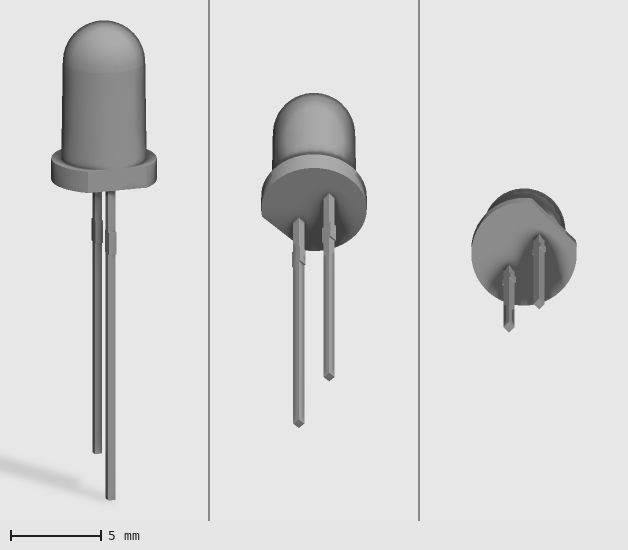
import cadquery as cq

TOTAL_HEIGHT = 27.18
LENS_HEIGHT = 9.05
FLANGE_BOTTOM = TOTAL_HEIGHT - LENS_HEIGHT

FLANGE_DIAMETER = 5.85
FLANGE_RADIUS = FLANGE_DIAMETER / 2
FLANGE_HEIGHT = 1.22
WIDTH_ACROSS_FLAT = 5.3
FLAT_X = WIDTH_ACROSS_FLAT - FLANGE_RADIUS
BARREL_BASE_RADIUS = 2.36
DOME_RADIUS = 2.28
DOME_BOTTOM = TOTAL_HEIGHT - DOME_RADIUS
FLANGE_TOP = FLANGE_BOTTOM + FLANGE_HEIGHT

LEAD_WIDTH = 0.43
LEAD_PITCH = 2.4
SHORT_LEAD_BOTTOM = 2.0
COLLAR_TOP = FLANGE_BOTTOM - 2.66
COLLAR_HEIGHT = 1.28
COLLAR_WIDTH = 0.65


def make_lens():
    """Flanged lens turned about Z, with one side of the flange cut flat."""
    flange = (
        cq.Workplane("XY", origin=(0, 0, FLANGE_BOTTOM))
        .circle(FLANGE_RADIUS)
        .extrude(FLANGE_HEIGHT)
    )
    outside_flat = (
        cq.Workplane("XY", origin=(FLAT_X, 0, FLANGE_BOTTOM))
        .box(FLANGE_RADIUS, FLANGE_DIAMETER, FLANGE_HEIGHT, centered=(False, True, False))
    )

    diagonal = DOME_RADIUS * 0.5**0.5
    barrel = (
        cq.Workplane("XZ")
        .moveTo(0, FLANGE_TOP)
        .lineTo(BARREL_BASE_RADIUS, FLANGE_TOP)
        .lineTo(DOME_RADIUS, DOME_BOTTOM)
        .threePointArc((diagonal, DOME_BOTTOM + diagonal), (0, TOTAL_HEIGHT))
        .close()
        .revolve(360, (0, 0), (0, 1))
    )
    return flange.cut(outside_flat).union(barrel)


def make_lead(x, bottom):
    """Square wire from `bottom` to the underside of the flange, with its collar."""
    wire = (
        cq.Workplane("XY", origin=(x, 0, bottom))
        .rect(LEAD_WIDTH, LEAD_WIDTH)
        .extrude(FLANGE_BOTTOM - bottom)
    )
    collar = (
        cq.Workplane("XY", origin=(x, 0, COLLAR_TOP - COLLAR_HEIGHT))
        .rect(COLLAR_WIDTH, LEAD_WIDTH)
        .extrude(COLLAR_HEIGHT)
    )
    return wire.union(collar)


lens = make_lens()

LEADS = [
    (-LEAD_PITCH / 2, SHORT_LEAD_BOTTOM),
    (LEAD_PITCH / 2, 0.0),
]
leads = [make_lead(x, bottom) for x, bottom in LEADS]

result = cq.Compound.makeCompound([lens.val(), *[lead.val() for lead in leads]])